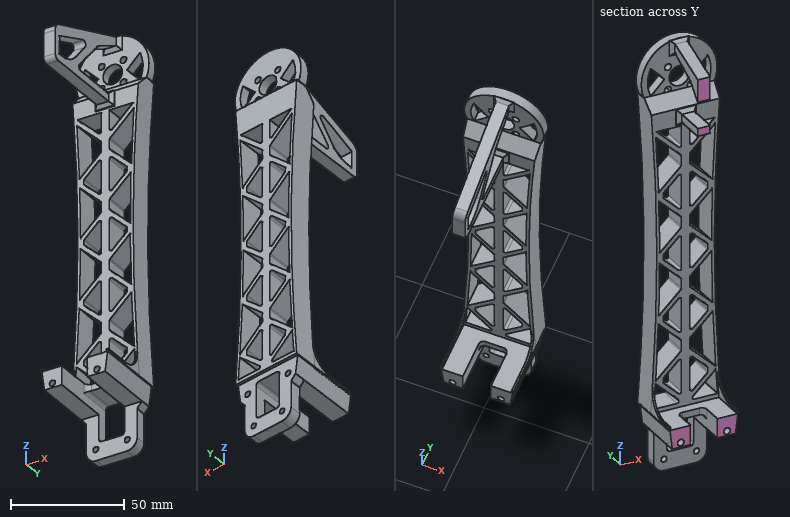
import cadquery as cq
import math


total_height = 214.5
disc_radius = 18.98
disc_back = -1.3
disc_thickness = 5.1
disc_front = disc_back - disc_thickness
disc_center_z = total_height - disc_radius
center_hole_radius = 5.0
motor_hole_radius = 1.6
motor_hole_offset = 5.68
wedge_tip_x = 7.5
wedge_outer_radius = 15.76

beam_depth = 12.5
beam_bottom = 33.0
beam_top = 188.7
beam_end_half = 17.5
beam_waist_half = 14.5
waist_bottom = 84.7
waist_top = 139.4
waist_blend = 10.7
top_chamfer = beam_depth + disc_front

spine_half = 2.1
wall = 1.5
bar_slope = 0.94
bar_gap = 3.2
pitch = 30.9
panel_count = 4
top_node_z = 156.3
node_half = 2.5
diamond_outer_x = 11.2
truss_top = 173.7
truss_bottom = 35.2
bottom_window_x = 3.5
window_fillet = 0.9

flange_thickness = 0.97
flange_fillet = 11.5
flange_strip = 1.3

foot_bottom = 23.2
foot_front = -38.2
foot_top_half = 17.2
foot_bottom_half = 15.9
tail_half = 13.3
tail_shoulder = 20.2
tail_thickness = 6.0
tail_corner_radius = 5.4
slot_half = 6.6
slot_back = -17.4
slot_corner_radius = 2.4
opening_bottom = 9.0
opening_top = 29.5
opening_corner_radius = 1.7
foot_hole = (11.5, 25.5)
foot_hole_radius = 1.5
tail_hole = (8.1, 5.8)
tail_hole_radius = 1.4

leg_half = 3.1
leg_tip = -59.5
leg_bottom = 176.7
leg_top = 213.0
leg_slope = 0.36
leg_bar = 4.0
leg_shelf = leg_bottom + leg_bar
leg_tip_fillet = 4.7
leg_heel_fillet = 2.5
pad_half = 5.0
pad_height = 1.7
low_pad_lip = 0.6
low_pad_bottom = 175.0
top_pad_bottom = 206.5
top_pad_top = 214.2
leg_root_bottom = 208.5

leg_bend = (-23.0, 201.2)
leg_bend_radius = 10.7
leg_elbow = (-41.4, leg_shelf)
leg_elbow_radius = 1.6
tip_window_end = -55.8
tip_window_slope = 0.39
tip_window_apex = (-29.8, 200.0)
tip_window_apex_radius = 1.7
tip_window_bend = (-46.5, leg_shelf)
tip_window_bend_radius = 15.0


def prism_xz(points, front, back):
    """Extrude an XZ outline between two Y positions."""
    return cq.Workplane("XZ", origin=(0, back, 0)).polyline(points).close().extrude(back - front)


def prism_yz(points, start, end):
    """Extrude a YZ outline between two X positions."""
    return cq.Workplane("YZ", origin=(start, 0, 0)).polyline(points).close().extrude(end - start)


def rod(x, z, radius):
    """Cylinder along Y, long enough to drill through the whole foot or disc."""
    return cq.Workplane("XZ", origin=(x, 0, z)).circle(radius).extrude(-foot_front + 2.1)


def both_sides(body):
    return body.union(body.mirror("YZ"))


def symmetric(half_points):
    """Close a right-hand outline, given from bottom to top, with its mirror image."""
    return half_points + [(-x, z) for x, z in reversed(half_points)]


def beam_prism(inset, front):
    """Waisted body of the beam, with each side moved inwards by the inset."""
    end = beam_end_half - inset
    waist = beam_waist_half - inset
    low_bend = waist + waist_blend * (end - waist) / (waist_bottom - beam_bottom)
    high_bend = waist + waist_blend * (end - waist) / (beam_top - waist_top)
    side = [
        (end, beam_bottom),
        (low_bend, waist_bottom - waist_blend),
        (waist, waist_bottom + waist_blend),
        (waist, waist_top - waist_blend),
        (high_bend, waist_top + waist_blend),
        (end, beam_top),
    ]
    mirrored_side = [(-x, z) for x, z in reversed(side)]
    return (
        cq.Workplane("XZ")
        .moveTo(-end, beam_bottom)
        .lineTo(end, beam_bottom)
        .spline(side[1:], includeCurrent=True)
        .lineTo(-end, beam_top)
        .spline(mirrored_side[1:], includeCurrent=True)
        .close()
        .extrude(-front)
    )


def make_beam():
    beam = beam_prism(0, -beam_depth)
    corner = prism_yz(
        [
            (disc_front, beam_top),
            (-beam_depth, beam_top),
            (-beam_depth, beam_top - top_chamfer),
        ],
        -beam_end_half, beam_end_half,
    )
    return beam.cut(corner)


def finish_window(points):
    return prism_xz(points, -beam_depth, 0).edges("|Y").fillet(window_fillet)


def truss_windows():
    """Right-hand windows of the truss."""
    inner = beam_prism(wall, -beam_depth)
    far_x = beam_end_half
    rise = bar_slope * (far_x - spine_half)
    tip = node_half + bar_gap
    windows = []

    for i in range(panel_count):
        z = top_node_z - i * pitch
        cone = prism_xz(
            [
                (spine_half, z - node_half),
                (far_x, z - node_half - rise),
                (far_x, z + node_half + rise),
                (spine_half, z + node_half),
            ],
            -beam_depth, 0,
        )
        windows.append(cone.intersect(inner).edges("|Y").fillet(window_fillet))

    diamond_rise = bar_slope * (diamond_outer_x - spine_half)
    for i in range(panel_count):
        high = top_node_z - i * pitch - tip
        low = top_node_z - (i + 1) * pitch + tip
        windows.append(finish_window([
            (spine_half, low),
            (diamond_outer_x, low + diamond_rise),
            (diamond_outer_x, high - diamond_rise),
            (spine_half, high),
        ]))

    low = top_node_z + tip
    windows.append(prism_xz(
        [
            (spine_half, low),
            (spine_half + (truss_top - low) / bar_slope, truss_top),
            (spine_half, truss_top),
        ],
        -beam_depth, 0,
    ).edges("|Y and <Z").fillet(window_fillet))

    low = top_node_z - panel_count * pitch + node_half
    last = prism_xz(
        [
            (bottom_window_x, truss_bottom),
            (far_x, truss_bottom),
            (far_x, low + rise),
            (bottom_window_x, low + bar_slope * (bottom_window_x - spine_half)),
        ],
        -beam_depth, 0,
    )
    windows.append(last.intersect(inner).edges("|Y").fillet(window_fillet))
    return windows


def make_flanges():
    strip_top = beam_bottom + flange_strip
    arc_top = strip_top + flange_fillet
    arc_end = -beam_depth - flange_fillet
    diagonal = flange_fillet * (1 - math.sqrt(0.5))
    profile = (
        cq.Workplane("YZ", origin=(-beam_end_half, 0, 0))
        .moveTo(-beam_depth, beam_bottom)
        .lineTo(-beam_depth, arc_top)
        .threePointArc((-beam_depth - diagonal, strip_top + diagonal), (arc_end, strip_top))
        .lineTo(foot_front, strip_top)
        .lineTo(foot_front, beam_bottom)
        .close()
        .extrude(2 * beam_end_half)
    )
    skin = beam_prism(0, foot_front).cut(beam_prism(flange_thickness, foot_front))
    return profile.intersect(skin)


def make_foot():
    block = prism_xz(
        symmetric([(foot_bottom_half, foot_bottom), (foot_top_half, beam_bottom)]),
        foot_front, disc_back,
    )
    slot_depth = slot_back - foot_front
    slot = (
        cq.Workplane("XY", origin=(0, slot_back - slot_depth / 2, foot_bottom))
        .rect(2 * slot_half, slot_depth)
        .extrude(beam_bottom - foot_bottom)
        .edges("|Z and >Y")
        .fillet(slot_corner_radius)
    )
    tail = prism_xz(
        symmetric([(tail_half, 0), (tail_half, tail_shoulder), (foot_bottom_half, foot_bottom)]),
        disc_back - tail_thickness, disc_back,
    )
    tail = tail.edges("|Y and <Z").fillet(tail_corner_radius)
    opening = prism_xz(
        symmetric([(slot_half, opening_bottom), (slot_half, opening_top)]), foot_front, 0
    )
    opening = opening.edges("|Y").fillet(opening_corner_radius)
    foot = block.cut(slot).union(tail).cut(opening)
    for (x, z), radius in ((foot_hole, foot_hole_radius), (tail_hole, tail_hole_radius)):
        foot = foot.cut(both_sides(rod(x, z, radius)))
    return foot


def make_disc():
    def disc(radius):
        origin = (0, disc_back, disc_center_z)
        return cq.Workplane("XZ", origin=origin).circle(radius).extrude(disc_thickness)

    reach = wedge_outer_radius - wedge_tip_x
    wedge = prism_xz(
        [
            (wedge_tip_x, disc_center_z),
            (wedge_outer_radius, disc_center_z - reach),
            (wedge_outer_radius, disc_center_z + reach),
        ],
        disc_front, disc_back,
    )
    body = disc(disc_radius).cut(disc(center_hole_radius))
    body = body.cut(both_sides(wedge.intersect(disc(wedge_outer_radius))))
    for side in (-1, 1):
        hole = rod(motor_hole_offset, disc_center_z + side * motor_hole_offset, motor_hole_radius)
        body = body.cut(both_sides(hole))
    below = cq.Workplane("XY", origin=(0, 0, beam_top)).rect(4 * disc_radius, 4 * disc_radius)
    return body.cut(below.extrude(-beam_top))


def flared_pad(root_y, root_z, leg_z):
    """Tapered pad from the arm face (root) down to the leg section."""
    root_center = sum(root_z) / 2
    leg_center = sum(leg_z) / 2
    return (
        cq.Workplane("XZ", origin=(0, root_y, root_center))
        .rect(2 * pad_half, root_z[1] - root_z[0])
        .workplane(offset=pad_height)
        .center(0, leg_center - root_center)
        .rect(2 * leg_half, leg_z[1] - leg_z[0])
        .loft(combine=True)
    )


def corner_edge(body, y, z):
    """Edge of a leg prism that runs along X closest to a YZ point."""
    return body.edges("|X").edges(cq.selectors.NearestToPointSelector((0, y, z)))


def make_leg():
    top_root = disc_front - pad_height
    tip_top = leg_top - leg_slope * (top_root - leg_tip)
    body = prism_yz(
        [
            (top_root, leg_top),
            (leg_tip, tip_top),
            (leg_tip, leg_bottom),
            (-beam_depth, leg_bottom),
            (-beam_depth, leg_shelf),
            (top_root, leg_shelf),
        ],
        -leg_half, leg_half,
    )
    body = corner_edge(body, leg_tip, tip_top).fillet(leg_tip_fillet)
    body = corner_edge(body, leg_tip, leg_bottom).fillet(leg_heel_fillet)

    opening = prism_yz(
        [(top_root, leg_shelf), leg_elbow, leg_bend, (top_root, leg_root_bottom)],
        -leg_half, leg_half,
    )
    opening = corner_edge(opening, *leg_elbow).fillet(leg_elbow_radius)
    opening = corner_edge(opening, *leg_bend).fillet(leg_bend_radius)

    apex_y, apex_z = tip_window_apex
    window = prism_yz(
        [
            (tip_window_end, leg_shelf),
            (tip_window_end, apex_z - tip_window_slope * (apex_y - tip_window_end)),
            tip_window_apex,
            tip_window_bend,
        ],
        -leg_half, leg_half,
    )
    window = corner_edge(window, *tip_window_bend).fillet(tip_window_bend_radius)
    window = corner_edge(window, *tip_window_apex).fillet(tip_window_apex_radius)
    return body.cut(opening).cut(window)


def make_pads():
    """Pads that join the two ends of the leg to the disc and to the beam."""
    top_pad = flared_pad(
        disc_front, (top_pad_bottom, top_pad_top), (leg_root_bottom, leg_top)
    )
    low_pad_top = beam_top - top_chamfer
    lip_front = -beam_depth - low_pad_lip
    lip = prism_xz(
        symmetric([(pad_half, low_pad_bottom), (pad_half, low_pad_top)]), lip_front, -beam_depth
    )
    low_pad = flared_pad(lip_front, (low_pad_bottom, low_pad_top), (leg_bottom, leg_shelf))
    return top_pad.union(lip).union(low_pad)


beam = make_beam()
for window in truss_windows():
    beam = beam.cut(both_sides(window))

result = beam.union(make_flanges()).union(make_foot()).union(make_disc()).union(make_leg())
result = result.union(make_pads())